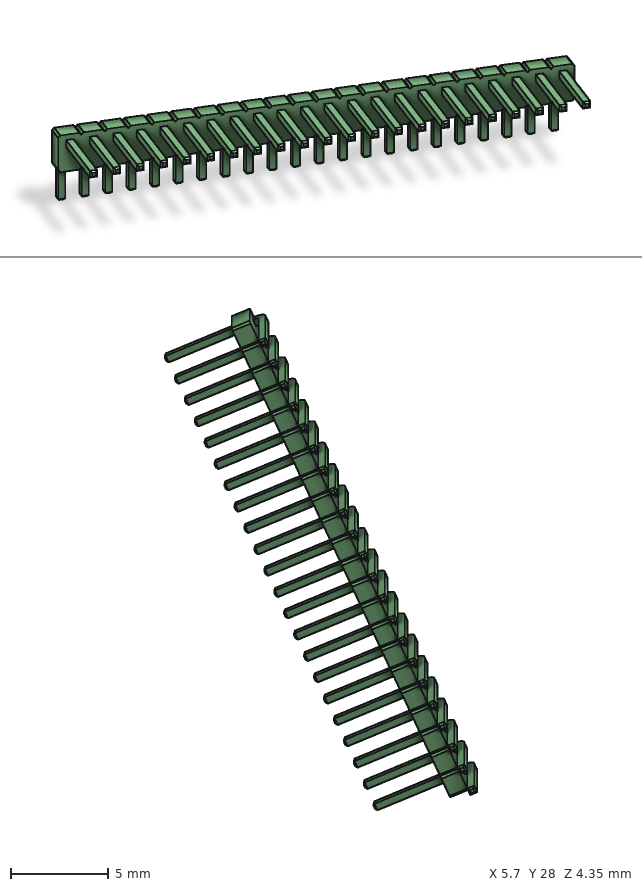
import cadquery as cq


pin_count = 22
row_length = 27.95
pitch = row_length / pin_count

total_depth = 5.7
total_height = 4.35

housing_front = 0.7
housing_depth = 1.0
housing_height = 2.1
housing_chamfer = 0.125

pin_thickness = 0.4
pin_top_gap = 0.3
bend_outer_radius = 0.6
bend_inner_radius = bend_outer_radius - pin_thickness
tip_chamfer = 0.1

pin_top = total_height - pin_top_gap


def make_housing_block():
    """One pitch of the housing, with its four edges along X chamfered."""
    return (
        cq.Workplane("XY")
        .box(housing_depth, pitch, housing_height, centered=(False, True, False))
        .edges("|X")
        .chamfer(housing_chamfer)
        .translate((housing_front, 0, total_height - housing_height))
    )


def make_pin():
    """Square pin: vertical leg, quarter bend, horizontal leg, with both tips tapered."""
    pin = (
        cq.Workplane("XZ")
        .moveTo(0, 0)
        .lineTo(0, pin_top - bend_outer_radius)
        .radiusArc((bend_outer_radius, pin_top), bend_outer_radius)
        .lineTo(total_depth, pin_top)
        .lineTo(total_depth, pin_top - pin_thickness)
        .lineTo(bend_outer_radius, pin_top - pin_thickness)
        .radiusArc((pin_thickness, pin_top - bend_outer_radius), -bend_inner_radius)
        .lineTo(pin_thickness, 0)
        .close()
        .extrude(pin_thickness / 2, both=True)
    )
    pin = pin.faces("<Z").chamfer(tip_chamfer)
    return pin.faces(">X").chamfer(tip_chamfer)


position = make_housing_block().union(make_pin())

result = cq.Workplane("XY")
for index in range(pin_count):
    offset = (index - (pin_count - 1) / 2) * pitch
    result = result.union(position.translate((0, offset, 0)))